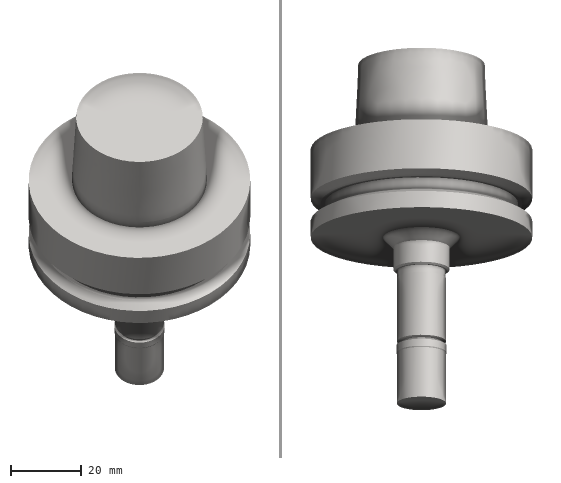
import cadquery as cq

total_height = 100.0
flange_bottom = 49.0
flange_top = 75.0

head_diameter = 38.3
head_seat_height = 2.0
taper_ratio = 1 / 10

flange_diameter = 63.0
groove_diameter = 55.0
groove_lip_diameter = 57.4
groove_bottom = 55.3
groove_top = 59.0
groove_bevel_height = 1.5

transition_diameter = 22.0
collar_diameter = 16.0
collar_bottom = 39.1
collar_chamfer = 0.5

neck_diameter = 13.8
shank_diameter = 14.0
shank_top = 36.9
ring_groove_diameter = 12.5
ring_groove_top = 18.3
ring_groove_bottom = 17.1
ring_groove_bevel_height = 0.5
band_diameter = 14.3
band_bottom = 14.7
band_bevel_height = 0.3


def frustum(bottom_z, top_z, bottom_diameter, top_diameter):
    """Solid cone section about the Z axis."""
    outline = [
        (0, bottom_z),
        (bottom_diameter / 2, bottom_z),
        (top_diameter / 2, top_z),
        (0, top_z),
    ]
    return cq.Workplane("XZ").polyline(outline).close().revolve(360, (0, 0), (0, 1))


def cylinder(bottom_z, top_z, diameter):
    """Solid cylinder about the Z axis."""
    return cq.Workplane("XY", origin=(0, 0, bottom_z)).circle(diameter / 2).extrude(top_z - bottom_z)


def make_shank():
    """Round shank with its ring groove and the slightly raised band below it."""
    bevel_bottom = ring_groove_top - ring_groove_bevel_height
    band_edge = band_bottom + band_bevel_height
    end = cylinder(0, band_bottom, shank_diameter)
    band_bevel = frustum(band_bottom, band_edge, shank_diameter, band_diameter)
    band = cylinder(band_edge, ring_groove_bottom, band_diameter)
    groove = cylinder(ring_groove_bottom, bevel_bottom, ring_groove_diameter)
    bevel = frustum(bevel_bottom, ring_groove_top, ring_groove_diameter, shank_diameter)
    body = cylinder(ring_groove_top, shank_top, shank_diameter)
    return end.union(band_bevel).union(band).union(groove).union(bevel).union(body)


def make_collar():
    """Relief neck, chamfered collar and conical transition to the flange."""
    transition_height = (transition_diameter - collar_diameter) / 2
    collar_top = flange_bottom - transition_height
    neck = cylinder(shank_top, collar_bottom, neck_diameter)
    collar = cylinder(collar_bottom, collar_top, collar_diameter).faces("<Z").chamfer(collar_chamfer)
    transition = frustum(collar_top, flange_bottom, collar_diameter, transition_diameter)
    return neck.union(collar).union(transition)


def make_flange():
    """Wide disc with a gripper groove between two bevelled lips."""
    lower_edge = groove_bottom - groove_bevel_height
    upper_edge = groove_top + groove_bevel_height
    lower_disc = cylinder(flange_bottom, lower_edge, flange_diameter)
    lower_bevel = frustum(lower_edge, groove_bottom, flange_diameter, groove_lip_diameter)
    groove = cylinder(groove_bottom, groove_top, groove_diameter)
    upper_bevel = frustum(groove_top, upper_edge, groove_lip_diameter, flange_diameter)
    upper_disc = cylinder(upper_edge, flange_top, flange_diameter)
    return lower_disc.union(lower_bevel).union(groove).union(upper_bevel).union(upper_disc)


def make_head():
    """Straight seat carrying the tapered head."""
    taper_bottom = flange_top + head_seat_height
    tip_diameter = head_diameter - taper_ratio * (total_height - taper_bottom)
    seat = cylinder(flange_top, taper_bottom, head_diameter)
    return seat.union(frustum(taper_bottom, total_height, head_diameter, tip_diameter))


result = make_shank().union(make_collar()).union(make_flange()).union(make_head())